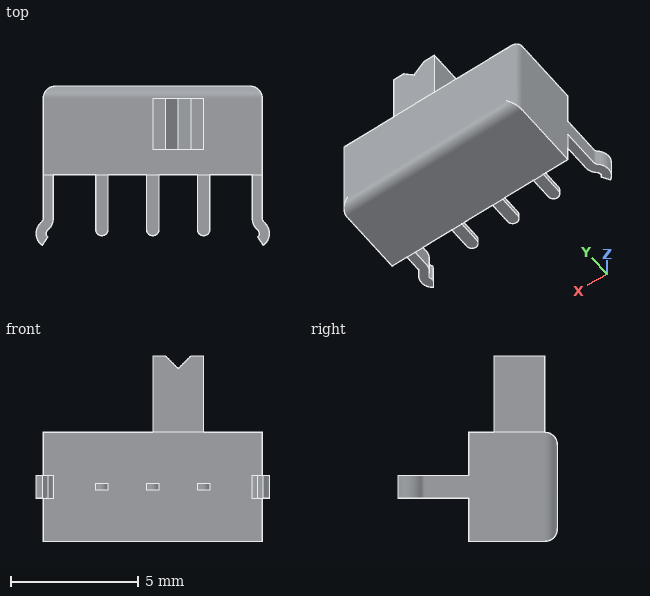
import cadquery as cq
import math

body_length = 8.62
body_depth = 3.5
body_height = 4.3
back_radius = 0.5

lever_width = 2.0
lever_depth = 2.0
lever_height = 3.0
lever_left = 0
lever_back = body_depth - back_radius
notch_depth = lever_width / 4

pin_pitch = 2.0
pin_width = 0.5
pin_length = 2.4
pin_thickness = 0.26

clip_thickness = 0.4
clip_height = 0.9
clip_straight = 1.71
clip_inner_radius = 0.19
clip_outer_radius = clip_inner_radius + clip_thickness
tip_inner_radius = 0.15
tip_outer_radius = tip_inner_radius + clip_thickness
clip_reach = 2.77
overall_length = 9.18
clip_offset = (overall_length - body_length) / 2


def make_body():
    block = cq.Workplane("XY").box(body_length, body_depth, body_height)
    block = block.translate((0, body_depth / 2, 0))
    return block.faces(">Y").edges().fillet(back_radius)


def make_lever():
    base_z = body_height / 2
    top_z = base_z + lever_height
    middle_x = lever_left + lever_width / 2
    right_x = lever_left + lever_width
    return (
        cq.Workplane("XZ", origin=(0, lever_back, 0))
        .moveTo(lever_left, base_z)
        .lineTo(right_x, base_z)
        .lineTo(right_x, top_z)
        .lineTo(middle_x + notch_depth, top_z)
        .lineTo(middle_x, top_z - notch_depth)
        .lineTo(middle_x - notch_depth, top_z)
        .lineTo(lever_left, top_z)
        .close()
        .extrude(lever_depth)
    )


def make_pin(center_x):
    half_width = pin_width / 2
    straight_end = half_width - pin_length
    return (
        cq.Workplane("XY")
        .moveTo(center_x - half_width, 0)
        .lineTo(center_x - half_width, straight_end)
        .threePointArc((center_x, -pin_length), (center_x + half_width, straight_end))
        .lineTo(center_x + half_width, 0)
        .close()
        .extrude(pin_thickness / 2, both=True)
    )


def polar_point(center, radius, angle):
    return (center[0] + radius * math.cos(angle), center[1] + radius * math.sin(angle))


def make_left_clip():
    outer_x = -body_length / 2
    inner_x = outer_x + clip_thickness
    bend_sum = clip_outer_radius + clip_inner_radius
    bend = math.acos(1 - clip_offset / bend_sum)
    first_center = (outer_x - clip_inner_radius, -clip_straight)
    hook_center = (
        outer_x - clip_offset + clip_outer_radius,
        -clip_straight - bend_sum * math.sin(bend),
    )
    tip_center = (outer_x - clip_offset + tip_outer_radius, hook_center[1])
    tip_turn = math.asin((clip_reach + tip_center[1]) / tip_outer_radius)
    hook_start = math.pi - bend
    hook_middle = math.pi - bend / 2
    tip_middle = math.pi + tip_turn / 2
    tip_end = math.pi + tip_turn
    return (
        cq.Workplane("XY")
        .moveTo(outer_x, 0)
        .lineTo(outer_x, -clip_straight)
        .threePointArc(
            polar_point(first_center, clip_inner_radius, -bend / 2),
            polar_point(first_center, clip_inner_radius, -bend),
        )
        .threePointArc(
            polar_point(hook_center, clip_outer_radius, hook_middle),
            polar_point(hook_center, clip_outer_radius, math.pi),
        )
        .threePointArc(
            polar_point(tip_center, tip_outer_radius, tip_middle),
            polar_point(tip_center, tip_outer_radius, tip_end),
        )
        .lineTo(*polar_point(tip_center, tip_inner_radius, tip_end))
        .threePointArc(
            polar_point(tip_center, tip_inner_radius, tip_middle),
            polar_point(tip_center, tip_inner_radius, math.pi),
        )
        .threePointArc(
            polar_point(hook_center, clip_inner_radius, hook_middle),
            polar_point(hook_center, clip_inner_radius, hook_start),
        )
        .threePointArc(
            polar_point(first_center, clip_outer_radius, -bend / 2),
            (inner_x, -clip_straight),
        )
        .lineTo(inner_x, 0)
        .close()
        .extrude(clip_height / 2, both=True)
    )


left_clip = make_left_clip()
right_clip = left_clip.mirror("YZ")

result = make_body().union(make_lever()).union(left_clip).union(right_clip)
for pin_x in (-pin_pitch, 0, pin_pitch):
    result = result.union(make_pin(pin_x))